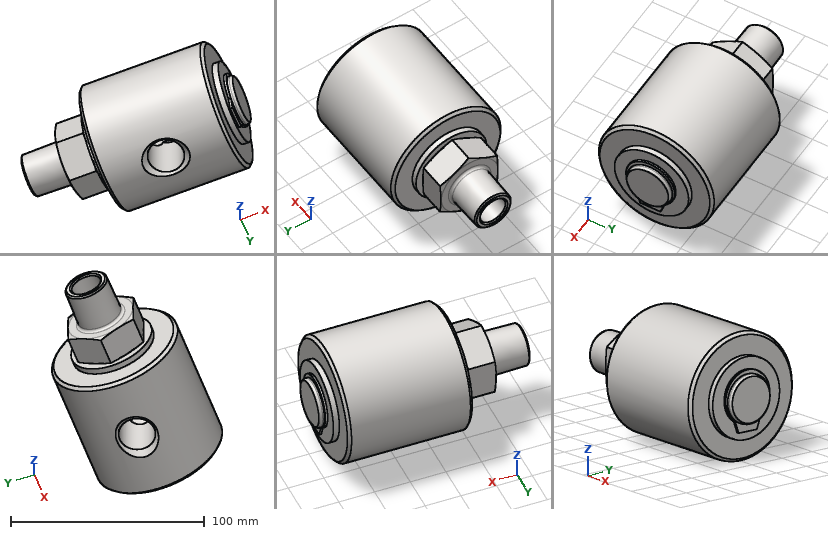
import cadquery as cq
import math


total_length = 119.0
hex_start = 21.9
collar_start = 38.3
body_start = 41.6
body_end = 111.6
rear_collar_end = 115.0
ring_end = 116.3

nipple_tip_diameter = 23.0
nipple_root_diameter = 23.7
nipple_flare_diameter = 26.8
nipple_chamfer = 0.8
bore_diameter = 16.0
bore_mouth_diameter = 17.5
drill_point_angle = 118.0
bore_overrun = 2.4

hex_across_flats = 35.9
hex_face_diameter = 35.6
hex_chamfer_angle = 15.0

body_diameter = 69.4
body_chamfer = 1.7
collar_diameter = 44.5

stub_diameter = 26.8
stub_rounding_length = 1.7
stub_end_diameter = 25.0
ring_diameter = 29.3
ring_offset = 1.0
lug_root_width = 16.9
lug_root_depth = 10.7
lug_tip_width = 12.1
lug_reach = 17.5

port_x = (body_start + body_end) / 2
port_mouth_diameter = 25.3
port_diameter = 19.0


def axial_cylinder(diameter, start, end, offset_z=0.0):
    """Cylinder along X between two stations."""
    plane = cq.Workplane("YZ", origin=(start, 0, offset_z))
    return plane.circle(diameter / 2).extrude(end - start)


def revolved(profile):
    """Revolve a closed (x, radius) profile about the X axis."""
    return profile.close().revolve(360, (0, 0, 0), (1, 0, 0))


def make_nipple():
    """Tapered nipple with a chamfered tip and a concave flare at the hexagon."""
    tip_radius = nipple_tip_diameter / 2
    root_radius = nipple_root_diameter / 2
    flare_radius = nipple_flare_diameter / 2
    flare_size = flare_radius - root_radius
    nipple_end = hex_start - flare_size
    flare_middle = (
        nipple_end + flare_size * math.sin(math.pi / 4),
        flare_radius - flare_size * math.cos(math.pi / 4),
    )
    profile = (
        cq.Workplane("XY")
        .lineTo(0, tip_radius - nipple_chamfer)
        .lineTo(nipple_chamfer, tip_radius)
        .lineTo(nipple_end, root_radius)
        .threePointArc(flare_middle, (hex_start, flare_radius))
        .lineTo(hex_start, 0)
    )
    return revolved(profile)


def make_hexagon():
    """Hexagon with corners on Z, turned down at a shallow angle on both ends."""
    across_corners = hex_across_flats / math.cos(math.pi / 6)
    corner_radius = across_corners / 2
    face_radius = hex_face_diameter / 2
    chamfer_length = (corner_radius - face_radius) * math.tan(math.radians(hex_chamfer_angle))
    prism = (
        cq.Workplane("YZ", origin=(hex_start, 0, 0))
        .transformed(rotate=(0, 0, 90))
        .polygon(6, across_corners)
        .extrude(collar_start - hex_start)
    )
    turned_profile = (
        cq.Workplane("XY")
        .moveTo(hex_start, 0)
        .lineTo(hex_start, face_radius)
        .lineTo(hex_start + chamfer_length, corner_radius)
        .lineTo(collar_start - chamfer_length, corner_radius)
        .lineTo(collar_start, face_radius)
        .lineTo(collar_start, 0)
    )
    return prism.intersect(revolved(turned_profile))


def make_body():
    """Chamfered main barrel with a shallow collar on each end."""
    barrel = axial_cylinder(body_diameter, body_start, body_end).edges().chamfer(body_chamfer)
    collars = axial_cylinder(collar_diameter, collar_start, rear_collar_end)
    return barrel.union(collars)


def make_stub():
    """Rear stub whose free edge is rounded tangent to its side."""
    stub_radius = stub_diameter / 2
    end_radius = stub_end_diameter / 2
    rounding_start = total_length - stub_rounding_length
    profile = (
        cq.Workplane("XY")
        .moveTo(rear_collar_end, 0)
        .lineTo(rear_collar_end, stub_radius)
        .lineTo(rounding_start, stub_radius)
        .tangentArcPoint((total_length, end_radius), relative=False)
        .lineTo(total_length, 0)
    )
    return revolved(profile)


def make_retaining_ring():
    """Eccentric retaining ring with a tapered lug pointing down."""
    ring = axial_cylinder(ring_diameter, rear_collar_end, ring_end, ring_offset)
    lug = (
        cq.Workplane("YZ", origin=(rear_collar_end, 0, 0))
        .moveTo(-lug_root_width / 2, -lug_root_depth)
        .lineTo(lug_root_width / 2, -lug_root_depth)
        .lineTo(lug_tip_width / 2, -lug_reach)
        .lineTo(-lug_tip_width / 2, -lug_reach)
        .close()
        .extrude(ring_end - rear_collar_end)
    )
    return ring.union(lug)


def make_bore():
    """Blind drilled bore with a bevelled mouth, reaching past the port."""
    bore_radius = bore_diameter / 2
    mouth_radius = bore_mouth_diameter / 2
    bore_depth = port_x + port_diameter / 2 + bore_overrun
    point_length = bore_radius / math.tan(math.radians(drill_point_angle / 2))
    profile = (
        cq.Workplane("XY")
        .lineTo(0, mouth_radius)
        .lineTo(mouth_radius - bore_radius, bore_radius)
        .lineTo(bore_depth, bore_radius)
        .lineTo(bore_depth + point_length, 0)
    )
    return revolved(profile)


def make_port():
    """Radial hole from the underside to the bore, with a 45 degree countersink."""
    port_radius = port_diameter / 2
    mouth_radius = port_mouth_diameter / 2
    body_radius = body_diameter / 2
    countersink_depth = mouth_radius - port_radius
    return (
        cq.Workplane("XZ", origin=(port_x, 0, 0))
        .lineTo(port_radius, 0)
        .lineTo(port_radius, countersink_depth - body_radius)
        .lineTo(mouth_radius, -body_radius)
        .lineTo(0, -body_radius)
        .close()
        .revolve(360, (0, 0, 0), (0, 1, 0))
    )


result = (
    make_nipple()
    .union(make_hexagon())
    .union(make_body())
    .union(make_stub())
    .union(make_retaining_ring())
    .cut(make_bore())
    .cut(make_port())
)